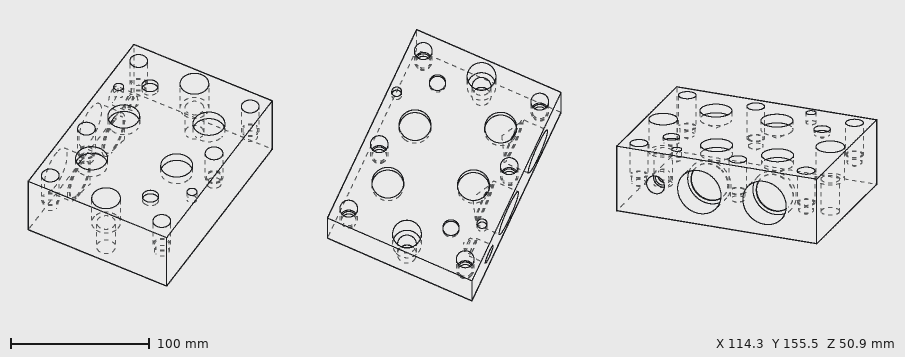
import cadquery as cq
import math

WIDTH = 114.3
LENGTH = 155.5
HEIGHT = 50.9
DRILL_POINT_ANGLE = 118.0

CLAMP_Y = 65.0
CLAMP_DIAMETER = 13.5
CLAMP_BORE_DIAMETER = 20.7
CLAMP_BORE_DEPTH = HEIGHT / 2

BOLT_X = 46.0
BOLT_MIDDLE_Y = 11.8
BOLT_DIAMETER = 12.8
BOLT_DRILL_DIAMETER = 10.7
BOLT_DEPTH = 24.9
BOLT_DRILL_DEPTH = 31.1
BOLT_POINTS = [
    (-BOLT_X, CLAMP_Y),
    (BOLT_X, CLAMP_Y),
    (BOLT_X, BOLT_MIDDLE_Y),
    (-BOLT_X, -BOLT_MIDDLE_Y),
    (-BOLT_X, -CLAMP_Y),
    (BOLT_X, -CLAMP_Y),
]

MAIN_PORT_X = 28.5
MAIN_PORT_INNER_Y = BOLT_MIDDLE_Y
MAIN_PORT_OUTER_Y = 35.6
MAIN_PORT_DIAMETER = 23.0
MAIN_PORT_DEPTH = 6.8
MAIN_PORT_POINTS = [
    (-MAIN_PORT_X, MAIN_PORT_INNER_Y),
    (-MAIN_PORT_X, -MAIN_PORT_OUTER_Y),
    (MAIN_PORT_X, MAIN_PORT_OUTER_Y),
    (MAIN_PORT_X, -MAIN_PORT_INNER_Y),
]

PILOT_DIAMETER = 11.8
PILOT_DEPTH = 3.7
PILOT_X = 26.9
PILOT_Y = 47.6
PILOT_POINTS = [(-PILOT_X, PILOT_Y), (PILOT_X, -PILOT_Y)]
PIN_DIAMETER = 7.2
PIN_DEPTH = 7.8
EDGE_PIN_X = 50.9
EDGE_PIN_Y = -29.2
PIN_POINTS = [(-BOLT_X, MAIN_PORT_OUTER_Y), (EDGE_PIN_X, EDGE_PIN_Y)]

SIDE_PORT_Z = HEIGHT / 2
LARGE_PORT_DIAMETER = 33.8
LARGE_PORT_DRILL_DIAMETER = 28.6
LARGE_PORT_DEPTH = 19.1
LARGE_PORT_DRILL_DEPTH = 19.9
LARGE_PORT_A_Y = 13.5
LARGE_PORT_B_Y = -37.2
SMALL_PORT_DIAMETER = 13.8
SMALL_PORT_DRILL_DIAMETER = 10.7
SMALL_PORT_DEPTH = 12.8
SMALL_PORT_DRILL_DEPTH = 17.1
SMALL_PORT_Y = PILOT_Y


def drilled_hole(face, point, diameter, depth):
    """Cylinder with a conical drill point, running into the block from a face plane."""
    radius = diameter / 2
    tip_depth = radius / math.tan(math.radians(DRILL_POINT_ANGLE / 2))
    profile = (
        cq.Workplane("XZ")
        .polyline([(0, 0), (radius, 0), (radius, -depth), (0, -depth - tip_depth)])
        .close()
        .revolve(360, (0, 0, 0), (0, 1, 0))
    )
    location = cq.Plane(face.toWorldCoords(point), xDir=face.xDir, normal=face.zDir).location
    return profile.val().moved(location)


def flat_hole(face, point, diameter, depth):
    """Flat-bottomed cylinder running into the block from a face plane."""
    return cq.Solid.makeCylinder(diameter / 2, depth, face.toWorldCoords(point), -face.zDir)


def threaded_hole(face, point, diameter, depth, drill_diameter, drill_depth):
    """Plain bore at the thread's outer diameter, with a deeper, narrower drilled hole inside it."""
    return [
        flat_hole(face, point, diameter, depth),
        drilled_hole(face, point, drill_diameter, drill_depth),
    ]


top_face = cq.Plane((0, 0, HEIGHT), xDir=(1, 0, 0), normal=(0, 0, 1))
side_face = cq.Plane((-WIDTH / 2, 0, SIDE_PORT_Z), xDir=(0, -1, 0), normal=(-1, 0, 0))

cutters = []

for clamp_y in (-CLAMP_Y, CLAMP_Y):
    cutters.append(flat_hole(top_face, (0, clamp_y), CLAMP_DIAMETER, HEIGHT))
    cutters.append(flat_hole(top_face, (0, clamp_y), CLAMP_BORE_DIAMETER, CLAMP_BORE_DEPTH))

for point in BOLT_POINTS:
    cutters += threaded_hole(
        top_face, point, BOLT_DIAMETER, BOLT_DEPTH, BOLT_DRILL_DIAMETER, BOLT_DRILL_DEPTH
    )

for points, diameter, depth in (
    (MAIN_PORT_POINTS, MAIN_PORT_DIAMETER, MAIN_PORT_DEPTH),
    (PILOT_POINTS, PILOT_DIAMETER, PILOT_DEPTH),
    (PIN_POINTS, PIN_DIAMETER, PIN_DEPTH),
):
    for point in points:
        cutters.append(drilled_hole(top_face, point, diameter, depth))

for port_y in (LARGE_PORT_A_Y, LARGE_PORT_B_Y):
    cutters += threaded_hole(
        side_face,
        (-port_y, 0),
        LARGE_PORT_DIAMETER,
        LARGE_PORT_DEPTH,
        LARGE_PORT_DRILL_DIAMETER,
        LARGE_PORT_DRILL_DEPTH,
    )

cutters += threaded_hole(
    side_face,
    (-SMALL_PORT_Y, 0),
    SMALL_PORT_DIAMETER,
    SMALL_PORT_DEPTH,
    SMALL_PORT_DRILL_DIAMETER,
    SMALL_PORT_DRILL_DEPTH,
)

block = cq.Workplane("XY").box(WIDTH, LENGTH, HEIGHT, centered=(True, True, False))
for cutter in cutters:
    block = block.cut(cq.Workplane(obj=cutter))

result = block